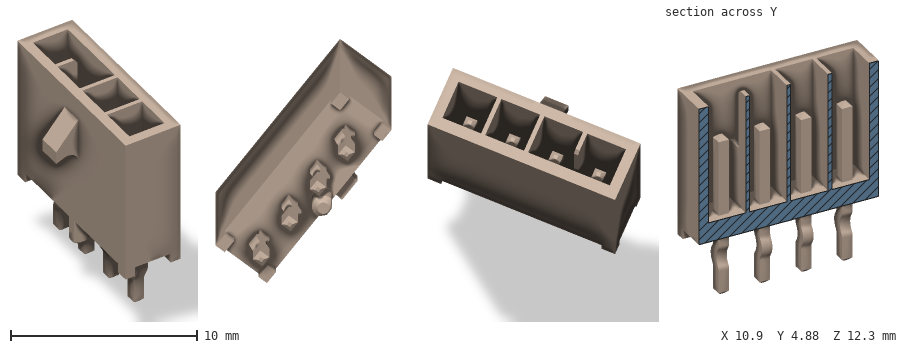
import cadquery as cq
import math


body_length = 10.94
body_depth = 3.48
body_height = 9.05
front_y = -body_depth / 2
back_y = body_depth / 2
standoff = 0.59
foot_length = 0.8
foot_depth_front = 0.58
foot_depth_back = 0.63

contact_count = 4
pitch = 2.5
row_y = -0.02
cell_length = 2.25
cell_depth = 2.22
floor_thickness = 1.23
cell_height = body_height - standoff - floor_thickness
cell_floor_z = body_height - cell_height
contact_xs = [(i - (contact_count - 1) / 2) * pitch for i in range(contact_count)]

gap_front_y = 0.12
gap_chamfer = 0.22
gap_bottom_z = cell_floor_z + cell_height / 2

pin_size = 0.64
pin_bottom_z = -3.21
pin_top_z = body_height - 2.45
tip_chamfer = 0.21
kink_offset = 0.26
kink_height = 1.53
kink_center_z = -0.87
crown_share = 0.66

latch_width = 1.37
latch_reach = 1.4
latch_top_z = body_height - 1.37
latch_nose_top_z = body_height - 2.99
latch_nose_bottom_z = body_height - 3.76
latch_root_z = body_height - 4.17
latch_hollow_radius = 0.65

peg_radius = 0.61
peg_bottom_z = -1.0
peg_chamfer = 0.3
peg_root_fillet = 0.07
peg_axis_to_front = 0.39
peg_flat_half_width = 0.23
peg_bevel_angle = 40.0


def box(x0, x1, y0, y1, z0, z1):
    """Block between two limits along each axis."""
    return cq.Workplane("XY").box(x1 - x0, y1 - y0, z1 - z0, centered=False).translate((x0, y0, z0))


def make_housing():
    half = body_length / 2
    housing = box(-half, half, front_y, back_y, 0, body_height)

    inner_x = half - foot_length
    housing = housing.cut(box(-inner_x, inner_x, front_y, back_y, 0, standoff))
    housing = housing.cut(
        box(-half, half, front_y + foot_depth_front, back_y - foot_depth_back, 0, standoff)
    )

    cells = (
        cq.Workplane("XY", origin=(0, row_y, cell_floor_z))
        .pushPoints([(x, 0) for x in contact_xs])
        .rect(cell_length, cell_depth)
        .extrude(cell_height)
    )
    return housing.cut(cells).cut(make_partition_gap())


def make_partition_gap():
    """Notch in the back half of the first partition, chamfered at the top of its front end."""
    wall = pitch - cell_length
    gap_back_y = row_y + cell_depth / 2
    return (
        cq.Workplane("YZ", origin=(contact_xs[0] + cell_length / 2, 0, 0))
        .moveTo(gap_back_y, gap_bottom_z)
        .lineTo(gap_back_y, body_height)
        .lineTo(gap_front_y - gap_chamfer, body_height)
        .lineTo(gap_front_y, body_height - gap_chamfer)
        .lineTo(gap_front_y, gap_bottom_z)
        .close()
        .extrude(wall)
    )


def make_pin(x, side):
    """Square pin with tapered tips, kinked below the housing towards side * Y."""
    half = pin_size / 2
    bend_angle = 2 * math.atan(2 * kink_offset / kink_height)
    crown_half = crown_share * kink_height / 2
    crown_radius = crown_half / math.sin(bend_angle)
    crown_sagitta = crown_radius * (1 - math.cos(bend_angle))
    root_radius = (kink_height / 2 - crown_half) / math.sin(bend_angle)

    blend_mid_offset = root_radius * (1 - math.cos(bend_angle / 2))
    blend_mid_height = kink_height / 2 - root_radius * math.sin(bend_angle / 2)
    crown_start = kink_offset - crown_sagitta

    def kinked_edge(profile, edge_y, upward):
        """Follow one kinked edge: blend arc, crown arc, blend arc. upward is 1 or -1."""

        def point(offset, along):
            return (edge_y + side * offset, kink_center_z + upward * along)

        return (
            profile.lineTo(*point(0, -kink_height / 2))
            .threePointArc(point(blend_mid_offset, -blend_mid_height), point(crown_start, -crown_half))
            .threePointArc(point(kink_offset, 0), point(crown_start, crown_half))
            .threePointArc(point(blend_mid_offset, blend_mid_height), point(0, kink_height / 2))
        )

    profile = cq.Workplane("YZ", origin=(x - half, row_y, 0)).moveTo(-half, pin_top_z)
    profile = kinked_edge(profile, -half, -1)
    profile = profile.lineTo(-half, pin_bottom_z).lineTo(half, pin_bottom_z)
    profile = kinked_edge(profile, half, 1)
    pin = profile.lineTo(half, pin_top_z).close().extrude(pin_size)
    pin = pin.faces("<Z").chamfer(tip_chamfer)
    return pin.faces(">Z").chamfer(tip_chamfer)


def make_latch():
    """Sloped hook on the front wall, hollowed underneath by an arc and its tangent."""
    radius = latch_hollow_radius
    to_nose_y = latch_reach - radius
    to_nose_z = latch_nose_bottom_z - latch_root_z
    tangent_angle = math.atan2(to_nose_z, to_nose_y) + math.acos(radius / math.hypot(to_nose_y, to_nose_z))

    def hollow_point(angle):
        return (
            front_y - radius - radius * math.cos(angle),
            latch_root_z + radius * math.sin(angle),
        )

    return (
        cq.Workplane("YZ", origin=(-latch_width / 2, 0, 0))
        .moveTo(front_y, latch_root_z)
        .lineTo(front_y, latch_top_z)
        .lineTo(front_y - latch_reach, latch_nose_top_z)
        .lineTo(front_y - latch_reach, latch_nose_bottom_z)
        .lineTo(*hollow_point(tangent_angle))
        .threePointArc(hollow_point((tangent_angle + math.pi) / 2), (front_y, latch_root_z))
        .close()
        .extrude(latch_width)
    )


def make_peg():
    """Round peg with a conical end and a root fillet, trimmed flush with the front wall."""
    axis_y = front_y + peg_axis_to_front
    root_radius = peg_radius + peg_root_fillet
    fillet_mid = peg_root_fillet * (1 - math.sqrt(0.5))
    turned = (
        cq.Workplane("XZ", origin=(0, axis_y, 0))
        .moveTo(0, peg_bottom_z)
        .lineTo(peg_radius - peg_chamfer, peg_bottom_z)
        .lineTo(peg_radius, peg_bottom_z + peg_chamfer)
        .lineTo(peg_radius, standoff - peg_root_fillet)
        .threePointArc((peg_radius + fillet_mid, standoff - fillet_mid), (root_radius, standoff))
        .lineTo(0, standoff)
        .close()
        .revolve(360, (0, 0, 0), (0, 1, 0))
    )

    side_x = 2 * peg_radius
    bevel_end_y = front_y + (side_x - peg_flat_half_width) * math.tan(math.radians(peg_bevel_angle))
    trim_back_y = front_y + 2 * side_x
    trim = (
        cq.Workplane("XY", origin=(0, 0, peg_bottom_z))
        .polyline([
            (-peg_flat_half_width, front_y),
            (peg_flat_half_width, front_y),
            (side_x, bevel_end_y),
            (side_x, trim_back_y),
            (-side_x, trim_back_y),
            (-side_x, bevel_end_y),
        ])
        .close()
        .extrude(standoff - peg_bottom_z)
    )
    return turned.intersect(trim)


result = make_housing().union(make_latch()).union(make_peg())
for index, contact_x in enumerate(contact_xs):
    is_outer = index in (0, contact_count - 1)
    result = result.union(make_pin(contact_x, 1 if is_outer else -1))